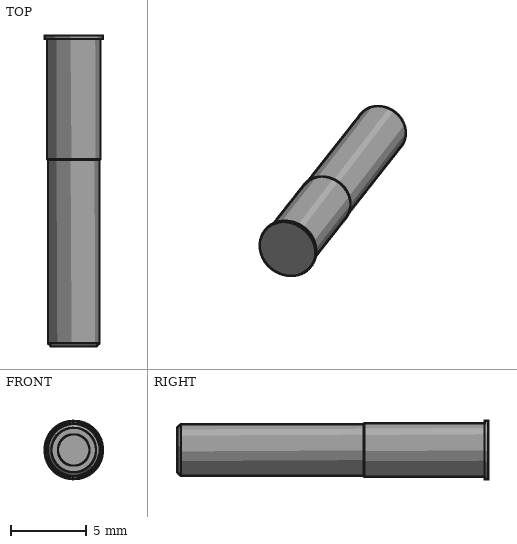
import cadquery as cq

length = 20.7
flange_diameter = 3.9
flange_thickness = 0.25
collar_diameter = 3.56
collar_end_depth = 8.3
collar_chamfer = 0.06
barrel_diameter = 3.45
tip_chamfer = 0.25
bore_diameter = 2.1
bore_depth = 6.2

flange_face = length / 2
tip_face = -length / 2


def cylinder(diameter, start, height):
    """Solid cylinder along +Y from the given Y position."""
    return cq.Workplane("XZ", origin=(0, start, 0)).circle(diameter / 2).extrude(-height)


flange = cylinder(flange_diameter, flange_face - flange_thickness, flange_thickness)
collar = cylinder(collar_diameter, flange_face - collar_end_depth, collar_end_depth)
collar = collar.faces("<Y").chamfer(collar_chamfer)
barrel = cylinder(barrel_diameter, tip_face, length)
barrel = barrel.faces("<Y").chamfer(tip_chamfer)

bore = cylinder(bore_diameter, tip_face, bore_depth)

result = barrel.union(collar).union(flange).cut(bore)